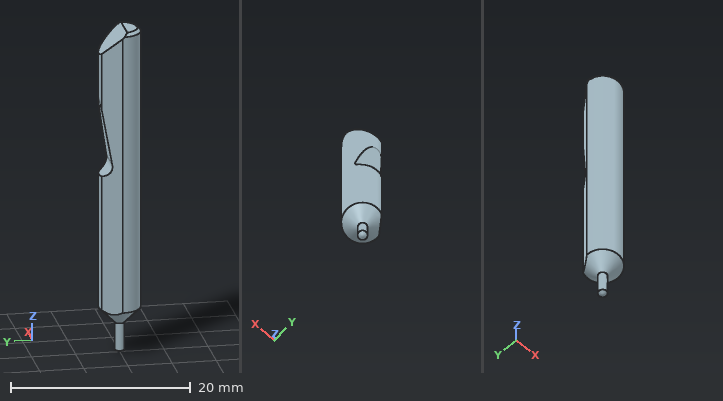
import cadquery as cq
import math

length = 38.1
shank_radius = 2.38
neck_radius = 0.552
tip_height = 0.23
neck_top = 3.45
top_chamfer = 0.4

flat_distance = 2.0
flat_angle = 145.0

bevel_bottom = 35.2

notch_top = 30.0
notch_bottom = 21.05
notch_slope = 9.6
notch_radius = 1.25

cutter_width = 4 * shank_radius
clearance = shank_radius


def turned_body():
    """Revolved tip, neck, 45 degree shoulder and shank with a chamfered top."""
    shoulder_top = neck_top + shank_radius - neck_radius
    profile = [
        (0, 0),
        (neck_radius, tip_height),
        (neck_radius, neck_top),
        (shank_radius, shoulder_top),
        (shank_radius, length - top_chamfer),
        (shank_radius - top_chamfer, length),
        (0, length),
    ]
    return cq.Workplane("XZ").polyline(profile).close().revolve(360, (0, 0), (0, 1))


def side_flat():
    """Block whose inner face lies on the flat."""
    block = cq.Workplane("XY").box(
        shank_radius, cutter_width, length, centered=(False, True, False)
    )
    return block.translate((flat_distance, 0, 0)).rotate((0, 0, 0), (0, 0, 1), flat_angle)


def across_x(points):
    """Prism along X with a polygonal section in the YZ plane."""
    return cq.Workplane("YZ").polyline(points).close().extrude(cutter_width / 2, both=True)


def top_bevel():
    outer_y = shank_radius + clearance
    top_z = length + clearance
    top_y = shank_radius - (top_z - bevel_bottom)
    outer_z = bevel_bottom - clearance
    return across_x([(outer_y, outer_z), (outer_y, top_z), (top_y, top_z)])


def notch():
    """Wedge deepening downwards, with a rounded inner corner."""
    depth = (notch_top - notch_bottom) * math.tan(math.radians(notch_slope))
    outer_y = shank_radius + clearance
    wedge = across_x([
        (shank_radius, notch_top),
        (shank_radius - depth, notch_bottom),
        (outer_y, notch_bottom),
        (outer_y, notch_top),
    ])
    return wedge.edges("|X").edges("<Y").fillet(notch_radius)


result = turned_body().cut(side_flat()).cut(top_bevel()).cut(notch())